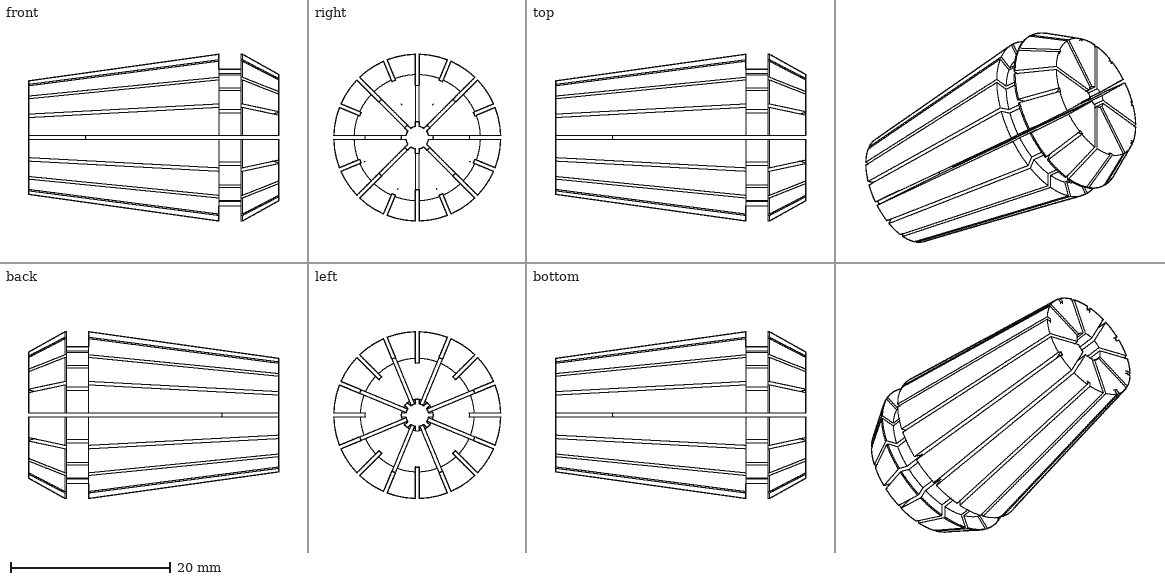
import cadquery as cq
import math

length = 31.5
small_end_radius = 7.15
rim_diameter = 21.0
rim_radius = rim_diameter / 2
long_cone_length = 23.95
groove_radius = 8.63
groove_width = 2.77
nose_land = 0.2
nose_end_radius = 7.95

relief_radius = 2.0
relief_depth = 15.75
clamp_radius = 1.42

slot_width = 0.47
slots_per_set = 8
slot_pitch = 360 / slots_per_set
nose_slot_blade_radius = 25.2
small_end_slot_blade_radius = 36.85
floor_radius_at_small_end = 6.58
floor_radius_at_nose = 7.75


def make_body():
    groove_end = long_cone_length + groove_width
    outline = [
        (0, 0),
        (0, small_end_radius),
        (long_cone_length, rim_radius),
        (long_cone_length, groove_radius),
        (groove_end, groove_radius),
        (groove_end, rim_radius),
        (groove_end + nose_land, rim_radius),
        (length, nose_end_radius),
        (length, 0),
    ]
    return cq.Workplane("XY").polyline(outline).close().revolve(360, (0, 0, 0), (1, 0, 0))


def make_bore():
    clamp_bore = cq.Workplane("YZ").circle(clamp_radius).extrude(length)
    relief_bore = cq.Workplane("YZ").circle(relief_radius).extrude(relief_depth)
    return clamp_bore.union(relief_bore)


def make_saw_cut(closed_end_x, open_end_x, floor_radius, blade_radius):
    """Slot on the +Z side whose floor stands floor_radius above the axis at the closed end."""
    toward_open = math.copysign(1, open_end_x - closed_end_x)
    plunge = blade_radius - floor_radius
    center_x = closed_end_x + toward_open * math.sqrt(blade_radius**2 - plunge**2)
    arc_start = (center_x - toward_open * blade_radius, blade_radius)
    arc_middle = (
        center_x - toward_open * blade_radius * math.cos(math.pi / 4),
        blade_radius - blade_radius * math.sin(math.pi / 4),
    )
    return (
        cq.Workplane("XZ")
        .moveTo(*arc_start)
        .threePointArc(arc_middle, (center_x, 0))
        .lineTo(open_end_x, 0)
        .lineTo(open_end_x, blade_radius)
        .close()
        .extrude(slot_width / 2, both=True)
    )


def cut_slots(body, saw_cut, first_angle):
    for index in range(slots_per_set):
        angle = first_angle + index * slot_pitch
        body = body.cut(saw_cut.rotate((0, 0, 0), (1, 0, 0), angle))
    return body


nose_slot = make_saw_cut(0, length, floor_radius_at_small_end, nose_slot_blade_radius)
small_end_slot = make_saw_cut(length, 0, floor_radius_at_nose, small_end_slot_blade_radius)

result = make_body().cut(make_bore())
result = cut_slots(result, nose_slot, 0)
result = cut_slots(result, small_end_slot, slot_pitch / 2).solids()